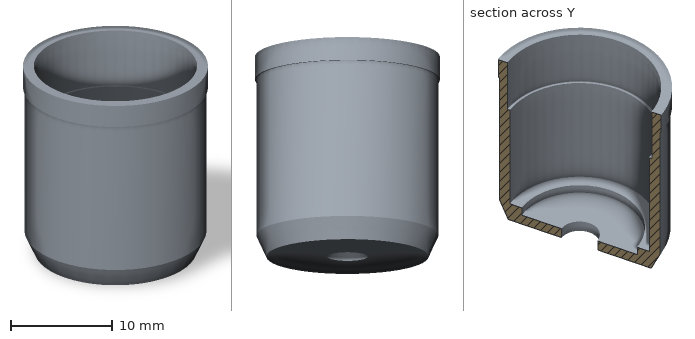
import cadquery as cq

height = 20.2
collar_diameter = 18.3
collar_height = 2.3

body_diameter = 18.0
foot_diameter = 16.04
foot_height = 2.15

mouth_diameter = 16.14
mouth_depth = 6.0
bore_diameter = 15.6
well_diameter = 12.93
drain_diameter = 4.0

ledge_level = foot_height
floor_thickness = (body_diameter - bore_diameter) / 2


def revolve_profile(points):
    """Solid of revolution about Z from (diameter, height) corners."""
    half_section = [(diameter / 2, z) for diameter, z in points]
    return (
        cq.Workplane("XZ")
        .polyline(half_section)
        .close()
        .revolve(360, (0, 0, 0), (0, 1, 0))
    )


outer_body = revolve_profile([
    (0, 0),
    (foot_diameter, 0),
    (body_diameter, foot_height),
    (body_diameter, height - collar_height),
    (collar_diameter, height - collar_height),
    (collar_diameter, height),
    (0, height),
])

cavity = revolve_profile([
    (0, floor_thickness),
    (well_diameter, floor_thickness),
    (well_diameter, ledge_level),
    (bore_diameter, ledge_level),
    (bore_diameter, height - mouth_depth),
    (mouth_diameter, height - mouth_depth),
    (mouth_diameter, height),
    (0, height),
])

drain_hole = cq.Workplane("XY").circle(drain_diameter / 2).extrude(height)

result = outer_body.cut(cavity).cut(drain_hole)